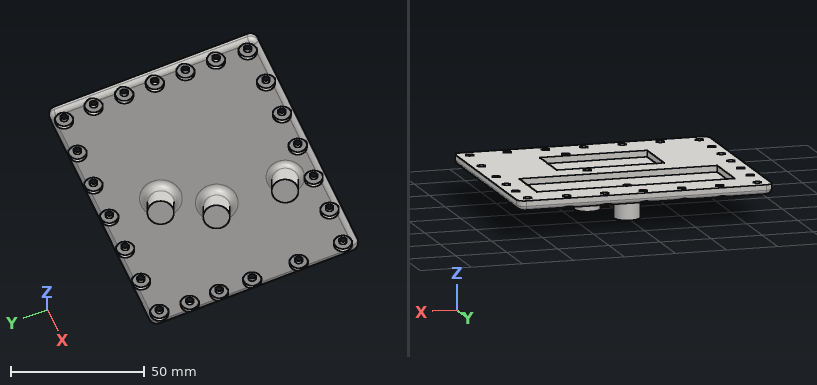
import cadquery as cq

plate_length = 100.0
plate_width = 85.0
plate_thickness = 4.0
corner_radius = 3.0
bottom_edge_radius = 2.0

screw_diameter = 3.0
head_diameter = 7.0
head_depth = 2.0
row_spacing = 15.0
edge_inset = 4.0
corner_inset = 5.0
row_y = plate_width / 2 - edge_inset
side_x = plate_length / 2 - edge_inset
corner_x = plate_length / 2 - corner_inset
corner_y = plate_width / 2 - corner_inset
centred_steps = range(-2, 3)
left_spacing = 12.5
right_hole_ys = (25.5, 13.5, 0.0, -19.0)

pocket_depth = 2.5
large_pocket_length = 77.5
large_pocket_width = 23.0
large_pocket_y = 17.5
small_pocket_length = 42.0
small_pocket_width = 22.0
small_pocket_y = -15.0

total_height = 15.0
boss_diameter = 10.0
boss_floor = 3.0
boss_hole_diameter = 3.0
boss_root_radius = 3.0
tight_root_radius = 2.2
bosses = (
    (0.0, large_pocket_y, boss_root_radius),
    (10.0, -1.0, boss_root_radius),
    (10.0, -29.0, tight_root_radius),
)


def make_plate():
    plate = cq.Workplane("XY").rect(plate_length, plate_width).extrude(-plate_thickness)
    plate = plate.edges("|Z").fillet(corner_radius)
    return plate.faces("<Z").edges().fillet(bottom_edge_radius)


def make_boss(x, y, root_radius):
    """Boss as a revolved profile that flares into the underside of the plate."""
    radius = boss_diameter / 2
    embedded_top = -(plate_thickness + pocket_depth) / 2
    profile = (
        cq.Workplane("XZ")
        .moveTo(0, -total_height)
        .lineTo(radius, -total_height)
        .lineTo(radius, -plate_thickness - root_radius)
        .radiusArc((radius + root_radius, -plate_thickness), root_radius)
        .lineTo(radius + root_radius, embedded_top)
        .lineTo(0, embedded_top)
        .close()
    )
    return profile.revolve(360, (0, 0, 0), (0, 1, 0)).translate((x, y, 0))


def make_pocket(length, width, y):
    return cq.Workplane("XY").center(0, y).rect(length, width).extrude(-pocket_depth)


def screw_positions():
    points = [(step * row_spacing, side * row_y) for step in centred_steps for side in (-1, 1)]
    points += [(sx * corner_x, sy * corner_y) for sx in (-1, 1) for sy in (-1, 1)]
    points += [(-side_x, step * left_spacing) for step in centred_steps]
    points += [(side_x, y) for y in right_hole_ys]
    return points


def make_screw_holes():
    points = screw_positions()
    shanks = (
        cq.Workplane("XY")
        .pushPoints(points)
        .circle(screw_diameter / 2)
        .extrude(-plate_thickness)
    )
    heads = (
        cq.Workplane("XY", origin=(0, 0, -plate_thickness))
        .pushPoints(points)
        .circle(head_diameter / 2)
        .extrude(head_depth)
    )
    return shanks.union(heads)


def make_boss_holes():
    return (
        cq.Workplane("XY")
        .pushPoints([(x, y) for x, y, _ in bosses])
        .circle(boss_hole_diameter / 2)
        .extrude(boss_floor - total_height)
    )


result = make_plate()
for boss_x, boss_y, boss_root in bosses:
    result = result.union(make_boss(boss_x, boss_y, boss_root))
result = result.cut(make_pocket(large_pocket_length, large_pocket_width, large_pocket_y))
result = result.cut(make_pocket(small_pocket_length, small_pocket_width, small_pocket_y))
result = result.cut(make_screw_holes())
result = result.cut(make_boss_holes())